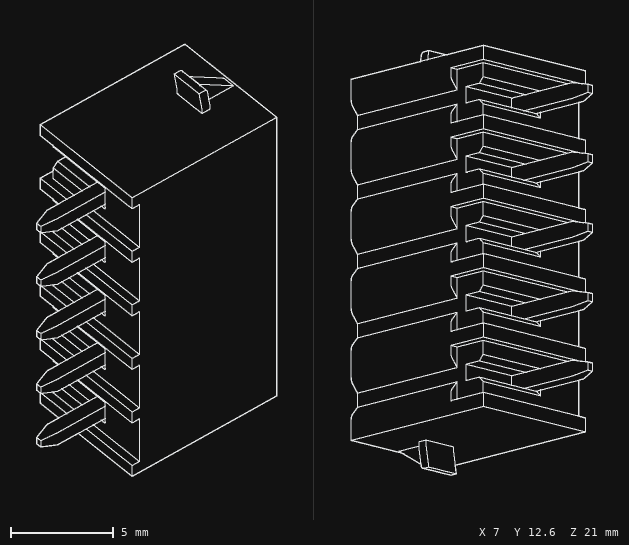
import cadquery as cq
import math


pin_count = 5
width = 7.0
body_height = 18.2
total_height = 21.0
back_depth = 6.93
face_depth = 8.74
rib_depth = 9.2
rib_thickness = 0.71
pitch = (body_height - rib_thickness) / pin_count
left = -width / 2
right = width / 2

groove_depth = 0.45
groove_floor = 0.71
groove_wall_angle = math.radians(40)
groove_edge_radius = 0.5

slot_depth = 1.2
slot_width = 0.82
slot_chamfer = 0.27
pin_x = 0.46
pin_size = 0.8
pin_tip_y = -12.6
tip_length = 0.86
tip_size_x = 0.32
tip_size_z = 0.42

latch_height = (total_height - body_height) / 2
latch_width = 1.9
latch_back_base = 2.12
latch_back_top = 2.3
latch_front_base = 2.62
latch_front_top = 2.81
latch_foot = 0.25
latch_edge_radius = 0.19
latch_rib_width = 0.74
latch_rib_start = 0.15
latch_rib_drop = 0.06


def slab(x_min, x_max, y_front, y_back, height, z=0.0):
    """Box between two X and two Y positions, centred on height z."""
    return cq.Workplane("XY").box(
        x_max - x_min, y_back - y_front, height, centered=(False, False, True)
    ).translate((x_min, y_front, z))


def make_housing():
    narrow_left = left + groove_depth
    housing = slab(left, right, -back_depth, 0, body_height)
    housing = housing.union(slab(narrow_left, right, -face_depth, -back_depth, body_height))
    for i in range(pin_count + 1):
        rib_z = (i - pin_count / 2) * pitch
        housing = housing.union(slab(left, right, -rib_depth, -back_depth, rib_thickness, rib_z))
    return housing


def make_groove(z):
    """Groove with sloping walls that roll over into the side face."""
    half_floor = groove_floor / 2
    half_corner = half_floor + groove_depth / math.tan(groove_wall_angle)
    tangent = groove_edge_radius * math.tan(groove_wall_angle / 2)
    half_mouth = half_corner + tangent
    half_roll = half_corner - tangent * math.cos(groove_wall_angle)
    floor_x = left + groove_depth
    roll_x = left + tangent * math.sin(groove_wall_angle)
    mid_angle = groove_wall_angle / 2
    mid_x = left + groove_edge_radius * (1 - math.cos(mid_angle))
    half_mid = half_mouth - groove_edge_radius * math.sin(mid_angle)
    return (
        cq.Workplane("XZ")
        .moveTo(left, z - half_mouth)
        .threePointArc((mid_x, z - half_mid), (roll_x, z - half_roll))
        .lineTo(floor_x, z - half_floor)
        .lineTo(floor_x, z + half_floor)
        .lineTo(roll_x, z + half_roll)
        .threePointArc((mid_x, z + half_mid), (left, z + half_mouth))
        .close()
        .extrude(back_depth)
    )


def make_slot(z):
    """Slot with a chamfered mouth, open on the left and closed at the pin."""
    half = slot_width / 2
    half_mouth = half + slot_chamfer
    floor_y = slot_depth - face_depth
    chamfer_y = slot_chamfer - face_depth
    profile = [
        (-face_depth, z - half_mouth),
        (chamfer_y, z - half),
        (floor_y, z - half),
        (floor_y, z + half),
        (chamfer_y, z + half),
        (-face_depth, z + half_mouth),
    ]
    slot_end = pin_x + slot_width / 2
    return (
        cq.Workplane("YZ", origin=(left, 0, 0))
        .polyline(profile)
        .close()
        .extrude(slot_end - left)
    )


def make_pin(z):
    """Square pin from the slot floor to a tapered tip."""
    root_y = slot_depth - face_depth
    shoulder_y = pin_tip_y + tip_length
    half = pin_size / 2
    shank = slab(pin_x - half, pin_x + half, shoulder_y, root_y, pin_size, z)
    tip = (
        cq.Workplane("XZ", origin=(pin_x, shoulder_y, z))
        .rect(pin_size, pin_size)
        .workplane(offset=tip_length)
        .rect(tip_size_x, tip_size_z)
        .loft(ruled=True)
    )
    return shank.union(tip)


def make_latch():
    """Leaning plate with a triangular rib behind it, on the housing top."""
    base_z = body_height / 2
    foot_z = base_z + latch_foot
    top_z = base_z + latch_height
    plate_profile = [
        (-latch_back_base, base_z),
        (-latch_back_base, foot_z),
        (-latch_back_top, top_z),
        (-latch_front_top, top_z),
        (-latch_front_base, foot_z),
        (-latch_front_base, base_z),
    ]
    plate = (
        cq.Workplane("YZ")
        .polyline(plate_profile)
        .close()
        .extrude(latch_width / 2, both=True)
        .edges("|X and >Z")
        .edges(">Y")
        .fillet(latch_edge_radius)
    )
    rib_peak_z = top_z - latch_rib_drop
    rib_profile = [
        (-latch_rib_start, base_z),
        (-latch_back_top, rib_peak_z),
        (-latch_front_base, base_z),
    ]
    rib = (
        cq.Workplane("YZ")
        .polyline(rib_profile)
        .close()
        .extrude(latch_rib_width / 2, both=True)
    )
    return plate.union(rib)


result = make_housing()
for i in range(pin_count):
    position_z = (i - (pin_count - 1) / 2) * pitch
    result = result.cut(make_groove(position_z))
    result = result.cut(make_slot(position_z))
    result = result.union(make_pin(position_z))
latch = make_latch()
result = result.union(latch).union(latch.mirror("XY"))